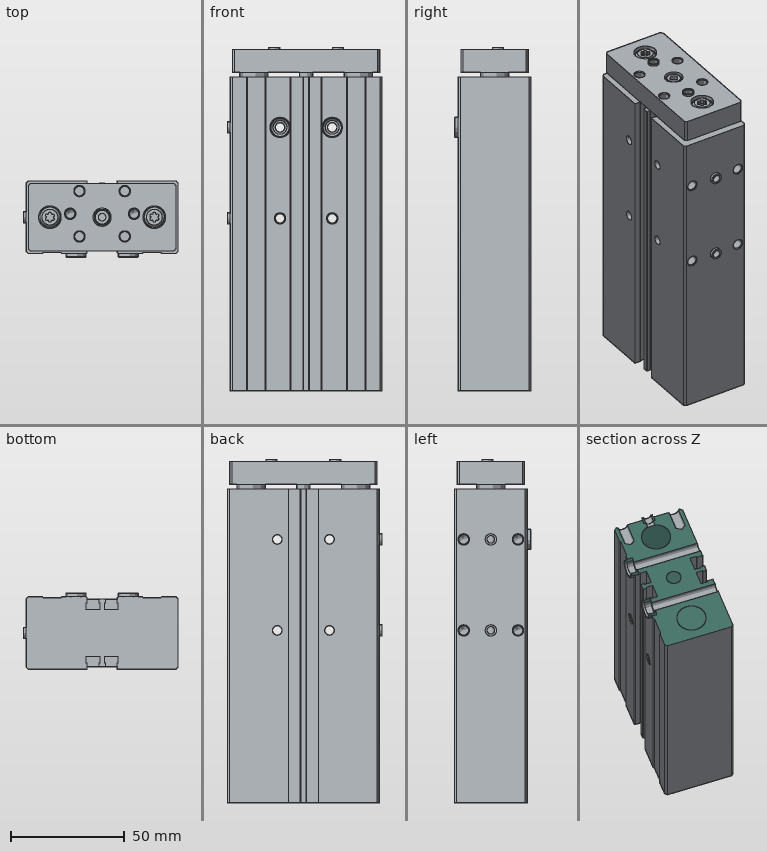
import cadquery as cq
import math

TOTAL_HEIGHT = 151.3

HOUSING_WIDTH = 67.0
HOUSING_DEPTH = 32.0
HOUSING_HEIGHT = 138.3
CORNER_CHAMFER = 1.0

CHANNEL_WIDTH = 13.2
CHANNEL_DEPTH = 5.7
LIP_DEPTH = 2.9
LIP_BEVEL = 0.5
UNDERCUT = 0.5
RIB_WIDTH = 2.9
RIB_SETBACK = 1.0
RIB_BEVEL = 0.3

STRIP_INNER_X = 17.7
STRIP_OUTER_X = 26.3
STRIP_DEPTH = 0.5

YOKE_WIDTH = 65.0
YOKE_DEPTH = 29.8
YOKE_GAP = 2.0
ROD_X = 23.0
ROD_DIAMETER = 12.5
ROD_END_Z = 15.1
PISTON_DIAMETER = 6.0

HEAD_RECESS_DIAMETER = 10.0
HEAD_RECESS_DEPTH = 1.8
HEAD_DIAMETER = 9.0
HEAD_FACE_DIAMETER = 7.0
HEAD_DROP = 0.5
HEAD_SOCKET_ACROSS = 4.4
HEAD_SOCKET_LOBE = 1.2
HEAD_SOCKET_LOBES = 6
HEAD_SOCKET_DEPTH = 2.0

PISTON_RECESS_DIAMETER = 8.0
PISTON_HEAD_DIAMETER = 7.0
PISTON_HEAD_BEVEL = 0.5
PISTON_SOCKET_DIAMETER = 3.3
PISTON_SOCKET_DEPTH = 2.0

CORE_DIAMETER = 4.2
THROUGH_DIAMETER = 4.1
MOUTH_DIAMETER = 5.0
BLIND_DEPTH = 9.1
DRILL_TIP_ANGLE = 118.0
YOKE_HOLE_PITCH = 20.0
YOKE_PATTERN_Y = 1.5
BODY_HOLE_X = 11.5
UPPER_HOLE_Z = 116.0
HOLE_PITCH_Z = 40.1
SIDE_HOLE_Y = 12.0

LARGE_SLEEVE_DIAMETER = 9.0
LARGE_SLEEVE_BORE = 6.0
LARGE_SLEEVE_MOUTH = 8.0
LARGE_SLEEVE_LENGTH = 4.0
LARGE_SLEEVE_STAND_OUT = 1.7
LARGE_SLEEVE_BEVEL = 0.3

SMALL_SLEEVE_DIAMETER = 5.0
SMALL_SLEEVE_LENGTH = 3.0
SIDE_SLEEVE_STAND_OUT = 1.2
YOKE_SLEEVE_STAND_OUT = 0.9
YOKE_SLEEVE_X = 14.0
YOKE_SLEEVE_HOLE_DEPTH = 6.8
YOKE_SLEEVE_BORE = 4.1
SIDE_SLEEVE_BORE = 3.3
SIDE_SLEEVE_HOLE_DEPTH = 4.5

FRONT_Y = -HOUSING_DEPTH / 2
LEFT_X = -HOUSING_WIDTH / 2
YOKE_TOP = TOTAL_HEIGHT - YOKE_SLEEVE_STAND_OUT
YOKE_BOTTOM = HOUSING_HEIGHT + YOKE_GAP
YOKE_THICKNESS = YOKE_TOP - YOKE_BOTTOM
HOLE_ROWS = (UPPER_HOLE_Z, UPPER_HOLE_Z - HOLE_PITCH_Z)
SIDES = (-1, 1)

UP = cq.Vector(0, 0, 1)
DOWN = cq.Vector(0, 0, -1)
INTO_FRONT = cq.Vector(0, 1, 0)
INTO_LEFT = cq.Vector(1, 0, 0)


def cylinder(diameter, length, start, direction):
    """Solid cylinder running from start along direction."""
    return cq.Workplane(cq.Solid.makeCylinder(diameter / 2, length, start, direction))


def chamfered_block(width, depth, height, base_z):
    """Upright block with chamfered vertical edges."""
    block = cq.Workplane("XY").workplane(offset=base_z).rect(width, depth).extrude(height)
    return block.edges("|Z").chamfer(CORNER_CHAMFER)


def countersink(mouth_diameter, core_diameter, start, direction):
    """45 degree cone that narrows from the mouth to the core diameter."""
    depth = (mouth_diameter - core_diameter) / 2
    return cq.Workplane(cq.Solid.makeCone(mouth_diameter / 2, core_diameter / 2, depth, start, direction))


def drilled_cutter(diameter, depth, start, direction):
    """Blind hole ending in a drill point."""
    tip_length = diameter / 2 / math.tan(math.radians(DRILL_TIP_ANGLE / 2))
    tip = cq.Solid.makeCone(diameter / 2, 0, tip_length, start + direction * depth, direction)
    return cylinder(diameter, depth, start, direction).union(cq.Workplane(tip))


def sleeve(diameter, bore, length, outer_end, direction):
    """Hollow centring sleeve running from its outer end inward."""
    return cylinder(diameter, length, outer_end, direction).cut(cylinder(bore, length, outer_end, direction))


LARGE_SLEEVE_MOUTHS = [cq.Vector(side * BODY_HOLE_X, FRONT_Y, UPPER_HOLE_Z) for side in SIDES]
SIDE_SLEEVE_MOUTHS = [cq.Vector(LEFT_X, 0, z) for z in HOLE_ROWS]
YOKE_SLEEVE_MOUTHS = [cq.Vector(side * YOKE_SLEEVE_X, YOKE_PATTERN_Y, YOKE_TOP) for side in SIDES]


def lobed_socket(x, top_z):
    """Six-lobed screw socket."""
    lobe_circle = (HEAD_SOCKET_ACROSS - HEAD_SOCKET_LOBE) / 2
    top = cq.Vector(x, 0, top_z)
    socket = cylinder(2 * lobe_circle, HEAD_SOCKET_DEPTH, top, DOWN)
    for index in range(HEAD_SOCKET_LOBES):
        angle = math.pi / 2 + index * math.tau / HEAD_SOCKET_LOBES
        offset = cq.Vector(math.cos(angle), math.sin(angle), 0) * lobe_circle
        socket = socket.union(cylinder(HEAD_SOCKET_LOBE, HEAD_SOCKET_DEPTH, top + offset, DOWN))
    return socket


def guide_rod(side):
    """Guide rod up to the yoke plate, with the screw head that ends it in the plate."""
    x = side * ROD_X
    head_top = YOKE_TOP - HEAD_DROP
    rod = cylinder(ROD_DIAMETER, YOKE_BOTTOM - ROD_END_Z, cq.Vector(x, 0, ROD_END_Z), UP)
    head = cylinder(HEAD_DIAMETER, head_top - YOKE_BOTTOM, cq.Vector(x, 0, YOKE_BOTTOM), UP)
    head = head.faces(">Z").chamfer((HEAD_DIAMETER - HEAD_FACE_DIAMETER) / 2)
    return rod.union(head).cut(lobed_socket(x, head_top))


guide_rods = [guide_rod(side) for side in SIDES]


def yoke():
    body = chamfered_block(YOKE_WIDTH, YOKE_DEPTH, YOKE_THICKNESS, YOKE_BOTTOM)
    for side in SIDES:
        top = cq.Vector(side * ROD_X, 0, YOKE_TOP)
        body = body.cut(cylinder(HEAD_DIAMETER, YOKE_THICKNESS, top, DOWN))
        body = body.cut(cylinder(HEAD_RECESS_DIAMETER, HEAD_RECESS_DEPTH, top, DOWN))
        for end in SIDES:
            hole_y = YOKE_PATTERN_Y + end * YOKE_HOLE_PITCH / 2
            mouth = cq.Vector(side * YOKE_HOLE_PITCH / 2, hole_y, YOKE_TOP)
            body = body.cut(cylinder(CORE_DIAMETER, YOKE_THICKNESS, mouth, DOWN))
            body = body.cut(countersink(MOUTH_DIAMETER, CORE_DIAMETER, mouth, DOWN))
    for mouth in YOKE_SLEEVE_MOUTHS:
        seat_depth = SMALL_SLEEVE_LENGTH - YOKE_SLEEVE_STAND_OUT
        body = body.cut(cylinder(SMALL_SLEEVE_DIAMETER, seat_depth, mouth, DOWN))
        body = body.cut(drilled_cutter(YOKE_SLEEVE_BORE, YOKE_SLEEVE_HOLE_DEPTH, mouth, DOWN))
    return piston_end(body)


def piston_end(body):
    """Add the piston rod, its bevelled head standing in a recess of the plate."""
    piston_top = cq.Vector(0, 0, YOKE_TOP)
    body = body.cut(cylinder(PISTON_RECESS_DIAMETER, HEAD_RECESS_DEPTH, piston_top, DOWN))
    head_top = cq.Vector(0, 0, YOKE_TOP - HEAD_DROP)
    head_length = head_top.z - YOKE_BOTTOM
    head = cylinder(PISTON_HEAD_DIAMETER, head_length, head_top, DOWN).faces(">Z").chamfer(PISTON_HEAD_BEVEL)
    rod = cylinder(PISTON_DIAMETER, YOKE_BOTTOM - ROD_END_Z, cq.Vector(0, 0, ROD_END_Z), UP)
    socket = cylinder(PISTON_SOCKET_DIAMETER, PISTON_SOCKET_DEPTH, head_top, DOWN)
    return body.union(head).union(rod).cut(socket)


yoke_plate = yoke()


def sensor_channel():
    """Front channel around its dividing rib, undercut behind the lips."""
    lip_y = FRONT_Y + LIP_DEPTH
    floor_y = FRONT_Y + CHANNEL_DEPTH
    rib_y = FRONT_Y + RIB_SETBACK
    outer_x = CHANNEL_WIDTH / 2
    rib_x = RIB_WIDTH / 2
    outline = [
        (0, FRONT_Y),
        (outer_x, FRONT_Y),
        (outer_x, lip_y),
        (outer_x + UNDERCUT, lip_y),
        (outer_x + UNDERCUT, floor_y),
        (rib_x - UNDERCUT, floor_y),
        (rib_x - UNDERCUT, lip_y),
        (rib_x, lip_y),
        (rib_x, rib_y + RIB_BEVEL),
        (rib_x - RIB_BEVEL, rib_y),
        (0, rib_y),
    ]
    half = cq.Workplane("XY").polyline(outline).close().extrude(HOUSING_HEIGHT)
    return half.union(half.mirror("YZ"))


def lip_bevel():
    """Wedge that bevels the right lip of the front channel."""
    lip_x = CHANNEL_WIDTH / 2
    outline = [(lip_x, FRONT_Y), (lip_x + LIP_BEVEL, FRONT_Y), (lip_x, FRONT_Y + LIP_BEVEL)]
    return cq.Workplane("XY").polyline(outline).close().extrude(HOUSING_HEIGHT)


def relief_strip():
    """Shallow strip to the right of the channel, its walls sloping at 45 degrees."""
    floor_y = FRONT_Y + STRIP_DEPTH
    outline = [
        (STRIP_INNER_X, FRONT_Y),
        (STRIP_OUTER_X, FRONT_Y),
        (STRIP_OUTER_X - STRIP_DEPTH, floor_y),
        (STRIP_INNER_X + STRIP_DEPTH, floor_y),
    ]
    return cq.Workplane("XY").polyline(outline).close().extrude(HOUSING_HEIGHT)


def housing_body():
    body = chamfered_block(HOUSING_WIDTH, HOUSING_DEPTH, HOUSING_HEIGHT, 0)
    channel = sensor_channel()
    body = body.cut(channel).cut(channel.mirror("XZ"))
    for cutter in (lip_bevel(), relief_strip()):
        body = body.cut(cutter).cut(cutter.mirror("YZ"))
    for side in SIDES:
        rod_bottom = cq.Vector(side * ROD_X, 0, ROD_END_Z)
        body = body.cut(cylinder(ROD_DIAMETER, HOUSING_HEIGHT - ROD_END_Z, rod_bottom, UP))
    piston_bottom = cq.Vector(0, 0, ROD_END_Z)
    body = body.cut(cylinder(PISTON_DIAMETER, HOUSING_HEIGHT - ROD_END_Z, piston_bottom, UP))

    for z in HOLE_ROWS:
        for side in SIDES:
            through_mouth = cq.Vector(side * BODY_HOLE_X, FRONT_Y, z)
            body = body.cut(cylinder(THROUGH_DIAMETER, HOUSING_DEPTH, through_mouth, INTO_FRONT))
            body = body.cut(countersink(MOUTH_DIAMETER, THROUGH_DIAMETER, through_mouth, INTO_FRONT))
            side_mouth = cq.Vector(LEFT_X, side * SIDE_HOLE_Y, z)
            body = body.cut(drilled_cutter(CORE_DIAMETER, BLIND_DEPTH, side_mouth, INTO_LEFT))
            body = body.cut(countersink(MOUTH_DIAMETER, CORE_DIAMETER, side_mouth, INTO_LEFT))

    large_seat = LARGE_SLEEVE_LENGTH - LARGE_SLEEVE_STAND_OUT
    for mouth in LARGE_SLEEVE_MOUTHS:
        body = body.cut(cylinder(LARGE_SLEEVE_DIAMETER, large_seat, mouth, INTO_FRONT))
    side_seat = SMALL_SLEEVE_LENGTH - SIDE_SLEEVE_STAND_OUT
    for mouth in SIDE_SLEEVE_MOUTHS:
        body = body.cut(cylinder(SMALL_SLEEVE_DIAMETER, side_seat, mouth, INTO_LEFT))
        body = body.cut(cylinder(SIDE_SLEEVE_BORE, SIDE_SLEEVE_HOLE_DEPTH, mouth, INTO_LEFT))
    return body


housing = housing_body()


def large_sleeve(mouth):
    """Front sleeve with a bevelled rim and a conical bore mouth."""
    outer_end = mouth - INTO_FRONT * LARGE_SLEEVE_STAND_OUT
    tube = sleeve(LARGE_SLEEVE_DIAMETER, LARGE_SLEEVE_BORE, LARGE_SLEEVE_LENGTH, outer_end, INTO_FRONT)
    tube = tube.faces("<Y").edges(cq.selectors.RadiusNthSelector(-1))
    tube = tube.chamfer(LARGE_SLEEVE_BEVEL)
    return tube.cut(countersink(LARGE_SLEEVE_MOUTH, LARGE_SLEEVE_BORE, outer_end, INTO_FRONT))


def small_sleeve(mouth, bore, stand_out, direction):
    """Plain sleeve standing out of its mouth."""
    outer_end = mouth - direction * stand_out
    return sleeve(SMALL_SLEEVE_DIAMETER, bore, SMALL_SLEEVE_LENGTH, outer_end, direction)


front_sleeves = [large_sleeve(mouth) for mouth in LARGE_SLEEVE_MOUTHS]
side_sleeves = [
    small_sleeve(mouth, SIDE_SLEEVE_BORE, SIDE_SLEEVE_STAND_OUT, INTO_LEFT)
    for mouth in SIDE_SLEEVE_MOUTHS
]
yoke_sleeves = [
    small_sleeve(mouth, YOKE_SLEEVE_BORE, YOKE_SLEEVE_STAND_OUT, DOWN)
    for mouth in YOKE_SLEEVE_MOUTHS
]

bodies = [housing, yoke_plate, *guide_rods, *front_sleeves, *side_sleeves, *yoke_sleeves]
result = cq.Compound.makeCompound([body.val() for body in bodies])